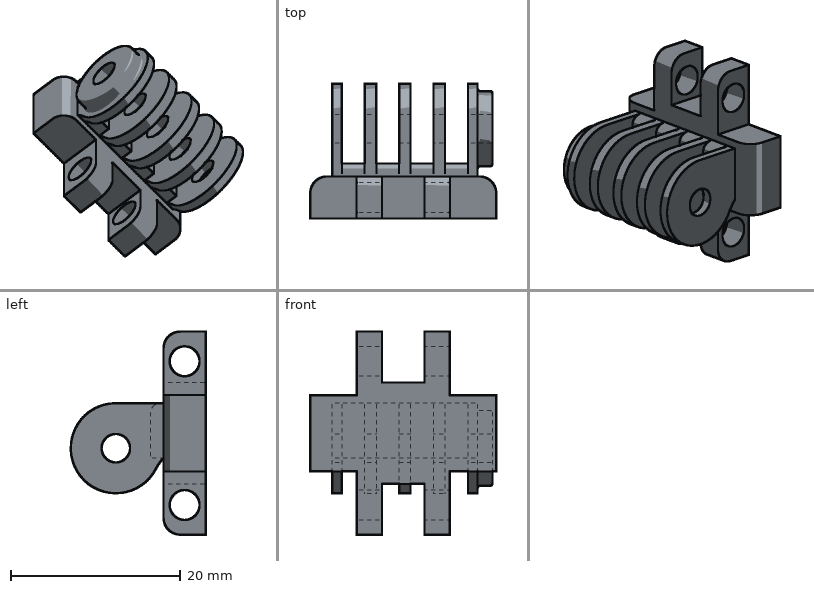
import cadquery as cq
import math

base_width = 21.98
base_height = 9.0
base_thickness = 5.0
base_corner_radius = 2.0

leg_width = 3.0
leg_spacing = 8.0
leg_span = 24.0
leg_gap_floor_height = 12.0
leg_hole_diameter = 3.5
leg_hole_y = base_thickness / 2
leg_hole_z = 8.48

pivot_y = 10.62
pivot_z = -1.78
finger_radius = 5.33
pivot_hole_diameter = 3.33
inner_finger_thickness = 1.37
outer_finger_thickness = 1.15
finger_gap = 2.69
finger_center_x = 0.19
finger_blend_angle = math.radians(207)
finger_root_bottom_z = -2.95

web_depth = 1.52
web_edge_radius = 1.15

boss_diameter = 8.89
boss_length = 1.76
boss_fillet = 0.3

finger_top_z = pivot_z + finger_radius
inner_pitch = inner_finger_thickness + finger_gap
fingers_half_width = 1.5 * inner_finger_thickness + 2 * finger_gap + outer_finger_thickness
fingers_start_x = finger_center_x - fingers_half_width
fingers_end_x = finger_center_x + fingers_half_width


def box(x_range, y_range, z_range):
    """Axis-aligned box given by its (low, high) limits."""
    size = [high - low for low, high in (x_range, y_range, z_range)]
    corner = (x_range[0], y_range[0], z_range[0])
    return cq.Workplane("XY").box(*size, centered=False).translate(corner)


def x_cylinder(diameter, start_x, end_x, y, z):
    """Cylinder along X between two X positions."""
    plane = cq.Workplane("YZ", origin=(start_x, y, z))
    return plane.circle(diameter / 2).extrude(end_x - start_x)


def make_plate():
    plate = cq.Workplane("XY").box(base_width, base_thickness, base_height)
    plate = plate.edges("|Z and >Y").fillet(base_corner_radius)
    return plate.translate((0, base_thickness / 2, 0))


def make_leg_pair(center_x):
    """One bar across the plate, forming an upper and a lower leg."""
    bar = cq.Workplane("XY").box(leg_width, base_thickness, leg_span)
    bar = bar.edges("|X and >Y").fillet(base_corner_radius)
    bar = bar.translate((center_x, base_thickness / 2, 0))
    for hole_z in (leg_hole_z, -leg_hole_z):
        start_x = center_x - leg_width / 2
        bar = bar.cut(x_cylinder(leg_hole_diameter, start_x, start_x + leg_width, leg_hole_y, hole_z))
    return bar


def make_base():
    base = make_plate()
    half_gap = (leg_spacing - leg_width) / 2
    half_floor = leg_gap_floor_height / 2
    base = base.union(box((-half_gap, half_gap), (0, base_thickness), (-half_floor, half_floor)))
    for side in (-1, 1):
        base = base.union(make_leg_pair(side * leg_spacing / 2))
    return base


def make_finger(start_x, thickness):
    """Rounded lug with a flat top and a concave blend under its root."""
    blend_y = pivot_y + finger_radius * math.cos(finger_blend_angle)
    blend_z = pivot_z + finger_radius * math.sin(finger_blend_angle)
    return (
        cq.Workplane("YZ", origin=(start_x, 0, 0))
        .moveTo(base_thickness, finger_top_z)
        .lineTo(pivot_y, finger_top_z)
        .threePointArc((pivot_y + finger_radius, pivot_z), (pivot_y, pivot_z - finger_radius))
        .tangentArcPoint((blend_y, blend_z), relative=False)
        .tangentArcPoint((base_thickness, finger_root_bottom_z), relative=False)
        .close()
        .extrude(thickness)
    )


def make_fingers():
    fingers = make_finger(fingers_start_x, outer_finger_thickness)
    fingers = fingers.union(make_finger(fingers_end_x - outer_finger_thickness, outer_finger_thickness))
    for step in (-1, 0, 1):
        start_x = finger_center_x + step * inner_pitch - inner_finger_thickness / 2
        fingers = fingers.union(make_finger(start_x, inner_finger_thickness))
    return fingers


def make_web():
    web = box(
        (fingers_start_x, fingers_end_x),
        (base_thickness, base_thickness + web_depth),
        (finger_root_bottom_z, finger_top_z),
    )
    return web.edges("|X and >Y and >Z").fillet(web_edge_radius)


def make_boss():
    """Boss turned about the pivot axis: flared at its foot, rounded at its rim."""
    radius = boss_diameter / 2
    diagonal = boss_fillet * math.sqrt(0.5)
    flare_middle = (boss_fillet - diagonal, radius + boss_fillet - diagonal)
    rim_middle = (boss_length - boss_fillet + diagonal, radius - boss_fillet + diagonal)
    return (
        cq.Workplane("XY")
        .lineTo(0, radius + boss_fillet)
        .threePointArc(flare_middle, (boss_fillet, radius))
        .lineTo(boss_length - boss_fillet, radius)
        .threePointArc(rim_middle, (boss_length, radius - boss_fillet))
        .lineTo(boss_length, 0)
        .close()
        .revolve(360, (0, 0, 0), (1, 0, 0))
        .translate((fingers_end_x, pivot_y, pivot_z))
    )


hinge = make_fingers().union(make_web()).union(make_boss())
pivot_hole = x_cylinder(pivot_hole_diameter, fingers_start_x, fingers_end_x + boss_length, pivot_y, pivot_z)
result = make_base().union(hinge.cut(pivot_hole))